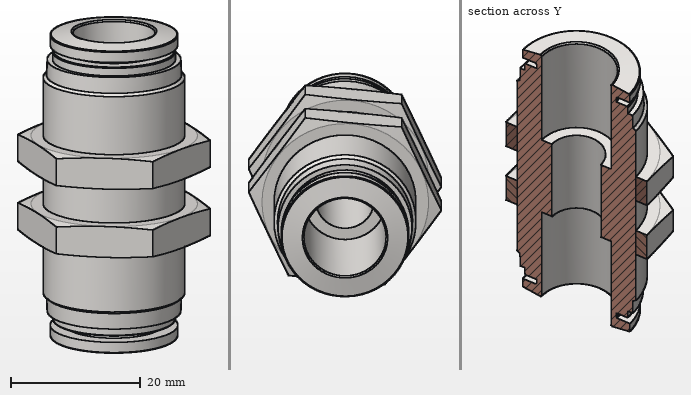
import cadquery as cq
import math

LENGTH = 49.5
BARREL_D = 22.0

RELEASE_RING_D = 19.8
RING_FACE_SLOPE_DEPTH = 0.45
RING_EDGE_CHAMFER = 0.15
RING_BACK_DEPTH = 2.25
NECK_ROOT_D = 15.0
NECK_STEP_DEPTH = 2.5
NECK_D = 14.7
COLLAR_D = 19.05
COLLAR_DEPTH = 3.1
COLLAR_CHAMFER = 0.15
SHOULDER_D = 20.75
SHOULDER_DEPTH = 4.5
TAPER_END_D = 20.95
TAPER_END_DEPTH = 7.05
BARREL_DEPTH = 7.42

BORE_D = 9.0
TUBE_SOCKET_D = 12.7
TUBE_SOCKET_DEPTH = 17.32
SOCKET_CHAMFER = 0.25
SOCKET_MOUTH_D = TUBE_SOCKET_D + 2 * SOCKET_CHAMFER

NUT_ACROSS_FLATS = 26.0
NUT_ACROSS_CORNERS = NUT_ACROSS_FLATS / math.cos(math.pi / 6)
NUT_HEIGHT = 5.0
NUT_CENTRE_OFFSET = 5.5
NUT_FACE_D = 25.8
NUT_CHAMFER_HEIGHT = 0.35


def make_fitting():
    """Double-ended tube fitting, revolved about Z and symmetric about Z = 0."""
    upper_inner = [
        (BORE_D, TUBE_SOCKET_DEPTH),
        (TUBE_SOCKET_D, TUBE_SOCKET_DEPTH),
        (TUBE_SOCKET_D, SOCKET_CHAMFER),
        (SOCKET_MOUTH_D, 0),
    ]
    upper_outer = [
        (RELEASE_RING_D - 2 * RING_EDGE_CHAMFER, RING_FACE_SLOPE_DEPTH),
        (RELEASE_RING_D, RING_FACE_SLOPE_DEPTH + RING_EDGE_CHAMFER),
        (RELEASE_RING_D, RING_BACK_DEPTH),
        (NECK_ROOT_D, RING_BACK_DEPTH),
        (NECK_D, NECK_STEP_DEPTH),
        (NECK_D, COLLAR_DEPTH),
        (COLLAR_D - 2 * COLLAR_CHAMFER, COLLAR_DEPTH),
        (COLLAR_D, COLLAR_DEPTH + COLLAR_CHAMFER),
        (COLLAR_D, SHOULDER_DEPTH),
        (SHOULDER_D, SHOULDER_DEPTH),
        (TAPER_END_D, TAPER_END_DEPTH),
        (BARREL_D, BARREL_DEPTH),
    ]
    upper = [(diameter / 2, LENGTH / 2 - depth) for diameter, depth in upper_inner + upper_outer]
    lower = [(radius, -z) for radius, z in reversed(upper)]
    return cq.Workplane("XZ").polyline(upper + lower).close().revolve(360, (0, 0, 0), (0, 1, 0))


def make_nut(centre_z):
    """Hexagonal nut with corners on +/-Y and both ends chamfered conically."""
    half_height = NUT_HEIGHT / 2
    face_radius = NUT_FACE_D / 2
    corner_radius = NUT_ACROSS_CORNERS / 2
    chamfer_z = half_height - NUT_CHAMFER_HEIGHT
    hexagon = (
        cq.Workplane("XY", origin=(0, 0, -half_height))
        .polygon(6, NUT_ACROSS_CORNERS)
        .extrude(NUT_HEIGHT)
        .rotate((0, 0, 0), (0, 0, 1), 30)
    )
    chamfer_envelope = (
        cq.Workplane("XZ")
        .polyline([
            (0, half_height),
            (face_radius, half_height),
            (corner_radius, chamfer_z),
            (corner_radius, -chamfer_z),
            (face_radius, -half_height),
            (0, -half_height),
        ])
        .close()
        .revolve(360, (0, 0, 0), (0, 1, 0))
    )
    hole = cq.Workplane("XY", origin=(0, 0, -half_height)).circle(BARREL_D / 2).extrude(NUT_HEIGHT)
    return hexagon.intersect(chamfer_envelope).cut(hole).translate((0, 0, centre_z))


fitting = make_fitting()
nuts = [make_nut(side * NUT_CENTRE_OFFSET) for side in (-1, 1)]

result = cq.Compound.makeCompound([fitting.val(), *[nut.val() for nut in nuts]])